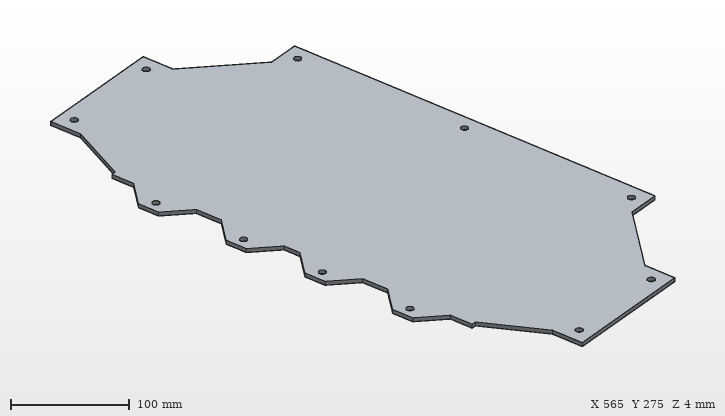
import cadquery as cq

length = 565.0
width = 275.0
thickness = 4.0
hole_diameter = 7.0

body_length = 383.0
body_depth = 252.5
ear_depth = 127.5
ear_flat = 31.5
front_slope_drop = 29.5
hole_inset = 14.0

tab_tip_length = 21.5
inner_tab_x = 42.0
outer_tab_x = 135.0
tab_hole_inset = 10.0

half_length = length / 2
half_body = body_length / 2
back_y = width / 2
tip_y = -width / 2
front_y = back_y - body_depth
ear_back_y = back_y - (half_length - half_body)
ear_front_y = ear_back_y - ear_depth
slope_start_x = half_length - ear_flat
tab_height = front_y - tip_y
tab_centers = [-outer_tab_x, -inner_tab_x, inner_tab_x, outer_tab_x]


def tab_outline(center_x):
    """Corners of one tab with 45 degree flanks, from left to right."""
    half_tip = tab_tip_length / 2
    half_root = half_tip + tab_height
    return [
        (center_x - half_root, front_y),
        (center_x - half_tip, tip_y),
        (center_x + half_tip, tip_y),
        (center_x + half_root, front_y),
    ]


def plate_outline():
    """Counter-clockwise outline: front edge with tabs, then right, back and left."""
    right_side = [
        (half_body, front_y),
        (half_body, ear_front_y - front_slope_drop),
        (slope_start_x, ear_front_y),
        (half_length, ear_front_y),
        (half_length, ear_back_y),
        (slope_start_x, ear_back_y),
        (half_body, back_y - ear_flat),
        (half_body, back_y),
    ]
    left_side = [(-x, y) for x, y in reversed(right_side)]
    tabs = [point for center_x in tab_centers for point in tab_outline(center_x)]
    return tabs + right_side + left_side


def hole_positions():
    """Back row, ear corners and one hole per tab."""
    back_row = [(x, back_y - hole_inset) for x in (hole_inset - half_body, 0, half_body - hole_inset)]
    ears = [
        (side * (half_length - hole_inset), y)
        for side in (-1, 1)
        for y in (ear_back_y - hole_inset, ear_front_y + hole_inset)
    ]
    tabs = [(center_x, tip_y + tab_hole_inset) for center_x in tab_centers]
    return back_row + ears + tabs


plate = cq.Workplane("XY").polyline(plate_outline()).close().extrude(thickness)
holes = cq.Workplane("XY").pushPoints(hole_positions()).circle(hole_diameter / 2).extrude(thickness)
result = plate.cut(holes)